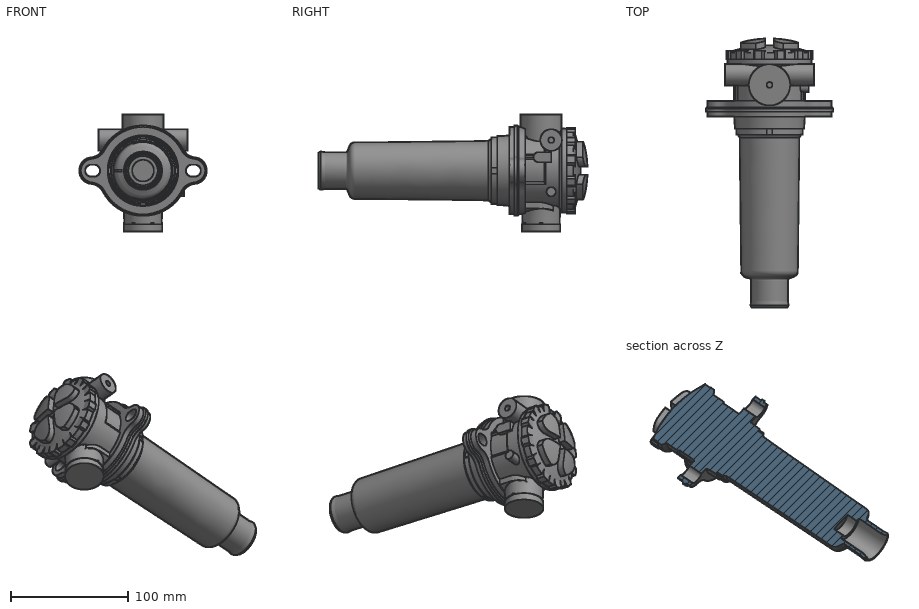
import cadquery as cq
import math


cap_top_y = 39.7
cap_dome_y = 33.9
knob_top_y = 29.2
ring_edge_y = 27.6
ring_bottom_y = 21.8
neck_bottom_y = 17.8
body_top_y = 15.3
flange_top_y = -13.7
rim_top_y = -18.9
rim_bottom_y = -22.9
flange_bottom_y = -27.1
spigot_step_y = -37.5
spigot_bottom_y = -42.4
tube_top_y = -45.0
tube_bottom_y = -159.1
outlet_end_y = -190.12

ring_radius = 35.6
knob_count = 12
knob_radius = 37.3
knob_tip_width = 6.0
knob_root_width = 9.2
knob_root_step = 0.3
knob_inner_radius = 30.0
grip_radius = 27.3
grip_rim_y = 35.6
slot_width = 7.0
slot_straight = 16.4
slot_flare_radius = 8.3
cut_clearance = 1.0

neck_radius = 36.0
body_radius = 31.8
pocket_floor_radius = 30.5
pocket_floor_top_y = 2.7
pocket_cut_depth = 3.0
pocket_outer_half = 21.4
pocket_inner_half = 6.0
pocket_pitch = 46.0
pocket_angles = (0, pocket_pitch, 180 - pocket_pitch, 180)

inlet_diameter = 35.2
inlet_top_z = 48.0
pilot_diameter = 5.0
pilot_depth = 6.0
side_port_diameter = 18.5
side_port_y = 8.6
side_port_z = 26.1
side_port_half_length = 38.0
drain_diameter = 33.0
drain_waist_diameter = 32.2
drain_bottom_z = -52.0
drain_collar_height = 6.3
drain_root_z = -30.0
drain_root_radius = 36.2
drain_web_y = 10.4
nub_radius = 1.4
nub_angles = (180, 240, 300, 360)
nub_inner_radius = 14.0
nub_sink = 1.0
nub_setback = 0.1
saddle_half_width = 17.0
saddle_center_y = -3.0
saddle_radius = 36.5

upper_boss_end_x = 33.6
upper_boss_diameter = 8.6
upper_boss_y = -2.2
upper_boss_z = 11.5
lower_boss_end_x = 35.1
lower_boss_diameter = 8.0
lower_boss_y = side_port_y
lower_boss_z = -18.0

lug_center_x = 43.0
rim_radius = 38.7
flange_span = 108.92
rim_lug_radius = flange_span / 2 - lug_center_x
rim_overhang = 1.4
rim_chamfer = 1.3
lug_blend_radius = 12.5
lug_slot_length = 12.6
lug_slot_height = 10.0

spigot_top_radius = 30.3
spigot_step_radius = 29.6
spigot_end_radius = 28.7
notch_count = 4
notch_width = 5.0
notch_depth = 1.2
tube_top_radius = 25.6
tube_bottom_radius = 24.3
spigot_foot_radius = 27.2
round_mid_radius = 23.5
round_mid_y = -161.6
shoulder_radius = 21.2
shoulder_top_y = -163.6
shoulder_foot_radius = 17.0
shoulder_foot_y = -165.3
fillet_mid_radius = 16.0
fillet_mid_y = -165.9
outlet_radius = 15.85
outlet_top_y = -166.8
lip_start_y = -184.5
lip_radius = 16.4
lip_y = -188.2
outlet_end_radius = 15.3
tube_rib_width = 1.8
tube_rib_top_y = -160.3
tube_rib_proud = 0.4
tube_rib_end_radius = 18.3
tube_rib_end_y = -165.2
bore_mouth_radius = 14.0
bore_radius = 12.5
bore_taper_depth = 5.5
bore_depth = 30.0
inner_bore_diameter = 18.5
inner_bore_depth = 10.0


def revolve_profile(profile):
    """Turn a closed (radius, y) profile drawn in the XY plane about the Y axis."""
    return profile.close().revolve(360, (0, 0, 0), (0, 1, 0))


def cylinder_y(radius, y_low, y_high):
    """Solid cylinder centred on the housing axis."""
    plane = cq.Workplane("XZ", origin=(0, y_high, 0))
    return plane.circle(radius).extrude(y_high - y_low)


def make_cap():
    """Domed screw cap with its grip and a ring of knobs."""
    sag = cap_dome_y - ring_edge_y
    base = revolve_profile(
        cq.Workplane("XY")
        .moveTo(0, neck_bottom_y)
        .lineTo(0, cap_dome_y)
        .threePointArc((ring_radius / 2, cap_dome_y - sag / 4), (ring_radius, ring_edge_y))
        .lineTo(ring_radius, neck_bottom_y)
    )
    return base.union(make_grip()).union(make_knobs())


def make_grip():
    """Domed disc split into four lobes by two crossed slots with flared ends."""
    corner_r = slot_width / math.sqrt(2)
    drop = (cap_top_y - grip_rim_y) / (1 - (corner_r / grip_radius) ** 2)
    peak_y = grip_rim_y + drop
    disc = revolve_profile(
        cq.Workplane("XY")
        .moveTo(0, ring_edge_y)
        .lineTo(0, peak_y)
        .threePointArc((grip_radius / 2, peak_y - drop / 4), (grip_radius, grip_rim_y))
        .lineTo(grip_radius, ring_edge_y)
    )
    half = slot_width / 2
    flare_end = slot_straight + slot_flare_radius
    flare_half = half + slot_flare_radius
    bend = slot_flare_radius * math.sqrt(0.5)
    bend_x = flare_half - bend
    bend_z = slot_straight + bend
    for angle in range(0, 360, 90):
        slot = (
            cq.Workplane("XZ", origin=(0, cap_top_y + cut_clearance, 0))
            .moveTo(-half, 0)
            .lineTo(half, 0)
            .lineTo(half, slot_straight)
            .threePointArc((bend_x, bend_z), (flare_half, flare_end))
            .lineTo(flare_half, grip_radius + cut_clearance)
            .lineTo(-flare_half, grip_radius + cut_clearance)
            .lineTo(-flare_half, flare_end)
            .threePointArc((-bend_x, bend_z), (-half, slot_straight))
            .close()
            .extrude(cap_top_y + cut_clearance - ring_edge_y)
        )
        disc = disc.cut(slot.rotate((0, 0, 0), (0, 1, 0), angle))
    return disc


def make_knobs():
    knob = (
        cq.Workplane("XZ", origin=(0, knob_top_y, 0))
        .moveTo(-knob_root_width / 2, knob_inner_radius)
        .lineTo(-knob_root_width / 2, ring_radius - knob_root_step)
        .lineTo(-knob_tip_width / 2, knob_radius)
        .lineTo(knob_tip_width / 2, knob_radius)
        .lineTo(knob_root_width / 2, ring_radius - knob_root_step)
        .lineTo(knob_root_width / 2, knob_inner_radius)
        .close()
        .extrude(knob_top_y - ring_bottom_y)
    )
    step = 360 / knob_count
    knobs = cq.Workplane("XY")
    for index in range(knob_count):
        knobs = knobs.add(knob.rotate((0, 0, 0), (0, 1, 0), (index + 0.5) * step))
    return knobs.combine()


def make_body():
    body = revolve_profile(
        cq.Workplane("XY")
        .moveTo(0, flange_top_y)
        .lineTo(body_radius, flange_top_y)
        .lineTo(body_radius, body_top_y)
        .lineTo(neck_radius, neck_bottom_y)
        .lineTo(neck_radius, ring_bottom_y)
        .lineTo(0, ring_bottom_y)
    )
    pocket = make_pocket()
    for angle in pocket_angles:
        body = body.cut(pocket.rotate((0, 0, 0), (0, 1, 0), angle))
    return body


def make_pocket():
    """Cutter for a shallow curved pocket on the -X side, with sloping walls, open at the flange."""
    outer_x = -(pocket_floor_radius + pocket_cut_depth)
    inner_x = outer_x + 2 * pocket_cut_depth
    wedge = (
        cq.Workplane("XZ", origin=(0, body_top_y, 0))
        .moveTo(outer_x, pocket_outer_half)
        .lineTo(inner_x, pocket_inner_half)
        .lineTo(inner_x, -pocket_inner_half)
        .lineTo(outer_x, -pocket_outer_half)
        .close()
        .extrude(body_top_y - flange_top_y)
    )
    band = (
        cq.Workplane("XY")
        .moveTo(pocket_floor_radius, flange_top_y)
        .lineTo(pocket_floor_radius, pocket_floor_top_y)
        .lineTo(pocket_floor_radius + pocket_cut_depth, pocket_floor_top_y + pocket_cut_depth)
        .lineTo(pocket_floor_radius + pocket_cut_depth, flange_top_y)
    )
    return wedge.intersect(revolve_profile(band))


def make_inlet():
    return cq.Workplane("XY").circle(inlet_diameter / 2).extrude(inlet_top_z)


def make_side_ports():
    plane = cq.Workplane("YZ", origin=(-side_port_half_length, side_port_y, side_port_z))
    return plane.circle(side_port_diameter / 2).extrude(2 * side_port_half_length)


def make_side_bosses():
    """Short round bosses pointing along +X; the upper one runs up into the side port."""
    upper = (
        cq.Workplane("YZ", origin=(0, upper_boss_y, upper_boss_z))
        .circle(upper_boss_diameter / 2)
        .extrude(upper_boss_end_x)
    )
    web = cq.Workplane("YZ", origin=(0, upper_boss_y, upper_boss_z))
    web = web.rect(2 * (side_port_y - upper_boss_y), upper_boss_diameter).extrude(upper_boss_end_x)
    web = web.intersect(cylinder_y(2 * body_radius, upper_boss_y, side_port_y))
    lower = (
        cq.Workplane("YZ", origin=(0, lower_boss_y, lower_boss_z))
        .circle(lower_boss_diameter / 2)
        .extrude(lower_boss_end_x)
    )
    return upper.union(web).union(lower)


def cut_pilot_holes(part):
    radius = pilot_diameter / 2
    part = part.cut(cq.Workplane("XY", origin=(0, 0, inlet_top_z)).circle(radius).extrude(-pilot_depth))
    for side in (-1, 1):
        end = (side * side_port_half_length, side_port_y, side_port_z)
        part = part.cut(cq.Workplane("YZ", origin=end).circle(radius).extrude(-side * pilot_depth))
    return part


def make_drain():
    """Lower port: waisted stub with a collar and nubs, on a saddle block."""
    collar_top_z = drain_bottom_z + drain_collar_height
    stub = (
        cq.Workplane("XZ")
        .moveTo(0, drain_root_z)
        .lineTo(drain_diameter / 2, drain_root_z)
        .lineTo(drain_waist_diameter / 2, collar_top_z)
        .lineTo(drain_diameter / 2, collar_top_z)
        .lineTo(drain_diameter / 2, drain_bottom_z)
        .lineTo(0, drain_bottom_z)
        .close()
        .revolve(360, (0, 0, 0), (0, 1, 0))
        .cut(cylinder_y(drain_root_radius, -drain_diameter, drain_web_y))
    )
    nub_limit = (
        cq.Workplane("XY", origin=(0, 0, drain_bottom_z))
        .circle(drain_diameter / 2 - nub_setback)
        .extrude(drain_root_z - drain_bottom_z)
    )
    nub = (
        cq.Workplane("YZ", origin=(nub_inner_radius, 0, collar_top_z))
        .moveTo(-nub_radius, -nub_sink)
        .lineTo(-nub_radius, 0)
        .threePointArc((0, nub_radius), (nub_radius, 0))
        .lineTo(nub_radius, -nub_sink)
        .close()
        .extrude(drain_diameter / 2)
        .intersect(nub_limit)
    )
    for angle in nub_angles:
        stub = stub.union(nub.rotate((0, 0, 0), (0, 0, 1), angle))
    saddle = (
        cq.Workplane("XY")
        .moveTo(-saddle_half_width, flange_top_y)
        .lineTo(-saddle_half_width, saddle_center_y)
        .threePointArc((0, saddle_center_y + saddle_half_width), (saddle_half_width, saddle_center_y))
        .lineTo(saddle_half_width, flange_top_y)
        .close()
        .extrude(-saddle_radius)
        .intersect(cylinder_y(saddle_radius, flange_top_y, neck_bottom_y))
    )
    return stub.union(saddle)


def flange_plate(disc_radius, lug_radius, blend_radius, y_low, y_high):
    """Round plate with two ears; concave arcs blend each ear into the disc."""
    to_disc = disc_radius + blend_radius
    to_lug = lug_radius + blend_radius
    blend_x = (to_disc ** 2 - to_lug ** 2 + lug_center_x ** 2) / (2 * lug_center_x)
    blend_z = math.sqrt(to_disc ** 2 - blend_x ** 2)
    disc_x = blend_x * disc_radius / to_disc
    disc_z = blend_z * disc_radius / to_disc
    lug_x = lug_center_x + (blend_x - lug_center_x) * lug_radius / to_lug
    lug_z = blend_z * lug_radius / to_lug
    chord_x = (disc_x + lug_x) / 2 - blend_x
    chord_z = (disc_z + lug_z) / 2 - blend_z
    scale = blend_radius / math.hypot(chord_x, chord_z)
    mid_x = blend_x + chord_x * scale
    mid_z = blend_z + chord_z * scale
    tip_x = lug_center_x + lug_radius
    return (
        cq.Workplane("XZ", origin=(0, y_high, 0))
        .moveTo(disc_x, disc_z)
        .threePointArc((mid_x, mid_z), (lug_x, lug_z))
        .threePointArc((tip_x, 0), (lug_x, -lug_z))
        .threePointArc((mid_x, -mid_z), (disc_x, -disc_z))
        .threePointArc((0, -disc_radius), (-disc_x, -disc_z))
        .threePointArc((-mid_x, -mid_z), (-lug_x, -lug_z))
        .threePointArc((-tip_x, 0), (-lug_x, lug_z))
        .threePointArc((-mid_x, mid_z), (-disc_x, disc_z))
        .threePointArc((0, disc_radius), (disc_x, disc_z))
        .close()
        .extrude(y_high - y_low)
    )


def make_flange():
    plate = flange_plate(
        rim_radius - rim_overhang,
        rim_lug_radius - rim_overhang,
        lug_blend_radius + rim_overhang,
        flange_bottom_y,
        flange_top_y,
    )
    rim = flange_plate(rim_radius, rim_lug_radius, lug_blend_radius, rim_bottom_y, rim_top_y)
    rim = rim.faces(">Y").chamfer(rim_chamfer)
    slots = (
        cq.Workplane("XZ", origin=(0, flange_top_y, 0))
        .pushPoints([(-lug_center_x, 0), (lug_center_x, 0)])
        .slot2D(lug_slot_length, lug_slot_height)
        .extrude(flange_top_y - flange_bottom_y)
    )
    return plate.union(rim).cut(slots)


def make_lower_housing():
    shell = revolve_profile(
        cq.Workplane("XY")
        .moveTo(0, flange_bottom_y)
        .lineTo(spigot_top_radius, flange_bottom_y)
        .lineTo(spigot_step_radius, spigot_step_y)
        .lineTo(spigot_end_radius, spigot_step_y)
        .lineTo(spigot_end_radius, spigot_bottom_y)
        .lineTo(spigot_foot_radius, spigot_bottom_y)
        .lineTo(tube_top_radius, tube_top_y)
        .lineTo(tube_bottom_radius, tube_bottom_y)
        .threePointArc((round_mid_radius, round_mid_y), (shoulder_radius, shoulder_top_y))
        .lineTo(shoulder_foot_radius, shoulder_foot_y)
        .threePointArc((fillet_mid_radius, fillet_mid_y), (outlet_radius, outlet_top_y))
        .lineTo(outlet_radius, lip_start_y)
        .lineTo(lip_radius, lip_y)
        .lineTo(outlet_end_radius, outlet_end_y)
        .lineTo(0, outlet_end_y)
    )
    return shell.cut(make_notches()).cut(make_bore())


def make_tube_rib():
    """Small rib across the rounded lower edge of the tube, on the -X side."""
    return (
        cq.Workplane("XY", origin=(0, 0, -tube_rib_width / 2))
        .moveTo(-shoulder_radius, tube_rib_top_y)
        .lineTo(-tube_bottom_radius - tube_rib_proud, tube_rib_top_y)
        .lineTo(-shoulder_radius - tube_rib_proud, shoulder_top_y - tube_rib_proud)
        .lineTo(-tube_rib_end_radius, tube_rib_end_y)
        .lineTo(-tube_rib_end_radius, tube_rib_top_y)
        .close()
        .extrude(tube_rib_width)
    )


def make_notches():
    height = spigot_step_y - spigot_bottom_y
    notch = (
        cq.Workplane("XY")
        .box(2 * notch_depth, height, notch_width)
        .translate((spigot_end_radius, spigot_bottom_y + height / 2, 0))
    )
    notches = cq.Workplane("XY")
    for index in range(notch_count):
        notches = notches.add(notch.rotate((0, 0, 0), (0, 1, 0), index * 360 / notch_count))
    return notches.combine()


def make_bore():
    taper_y = outlet_end_y + bore_taper_depth
    floor_y = outlet_end_y + bore_depth
    inner_y = floor_y + inner_bore_depth
    return revolve_profile(
        cq.Workplane("XY")
        .moveTo(0, outlet_end_y)
        .lineTo(bore_mouth_radius, outlet_end_y)
        .lineTo(bore_radius, taper_y)
        .lineTo(bore_radius, floor_y)
        .lineTo(inner_bore_diameter / 2, floor_y)
        .lineTo(inner_bore_diameter / 2, inner_y)
        .lineTo(0, inner_y)
    )


result = make_cap()
for feature in (
    make_body(),
    make_inlet(),
    make_side_ports(),
    make_side_bosses(),
    make_drain(),
    make_flange(),
    make_lower_housing(),
    make_tube_rib(),
):
    result = result.union(feature)
result = cut_pilot_holes(result)